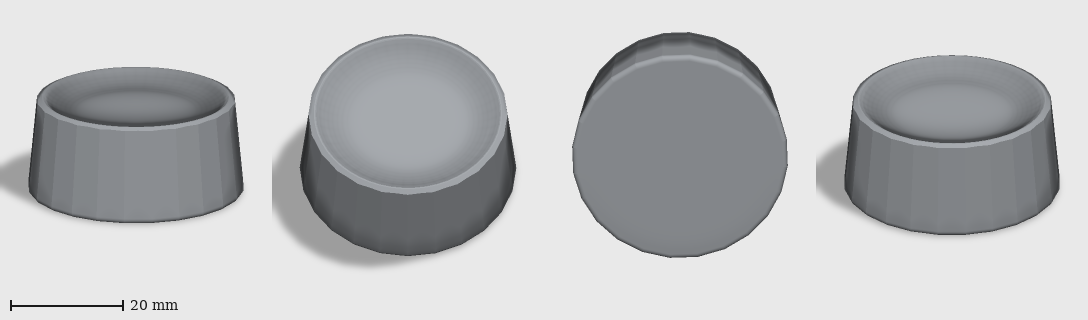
import cadquery as cq
import math

FACET_COUNT = 24
WIDTH = 38.3
HEIGHT = 17.5
SHOULDER_WIDTH = 35.2
BEVEL_HEIGHT = 0.4
BASE_RADIUS = 0.9

RIM_OUTER_RADIUS = 16.8
RIM_INNER_RADIUS = 16.58
DISH_RADIUS = 16.4
FLOOR_RADIUS = 10.87
DISH_CURVE_RADIUS = 7.77
LIP_DROP = 0.1

shoulder_z = HEIGHT - BEVEL_HEIGHT
side_rise = shoulder_z - BASE_RADIUS
centre_x = WIDTH / 2 - BASE_RADIUS
shoulder_offset = SHOULDER_WIDTH / 2 - centre_x
shoulder_distance = math.hypot(shoulder_offset, side_rise)
draft_angle = math.atan2(side_rise, shoulder_offset) - math.acos(BASE_RADIUS / shoulder_distance)


def flat_polygon(width, z):
    """Regular polygon with flats facing the X and Y axes."""
    corner_diameter = width / math.cos(math.pi / FACET_COUNT)
    half_step = 180 / FACET_COUNT
    return (
        cq.Workplane("XY", origin=(0, 0, z))
        .transformed(rotate=(0, 0, half_step))
        .polygon(FACET_COUNT, corner_diameter)
    )


def faceted_body():
    """Tapered prism with a rounded bottom edge."""
    slope = math.tan(draft_angle)
    base_width = SHOULDER_WIDTH + 2 * shoulder_z * slope
    top_width = SHOULDER_WIDTH - 2 * BEVEL_HEIGHT * slope
    lower = flat_polygon(base_width, 0).wires().val()
    upper = flat_polygon(top_width, HEIGHT).wires().val()
    body = cq.Workplane(cq.Solid.makeLoft([lower, upper], True))
    return body.faces("<Z").edges().fillet(BASE_RADIUS)


def bevel_envelope():
    """Solid of revolution whose upper cone cuts the top bevel."""
    bevel_slope = BEVEL_HEIGHT / (SHOULDER_WIDTH / 2 - RIM_OUTER_RADIUS)
    envelope_radius = WIDTH
    cone_foot_z = HEIGHT - (envelope_radius - RIM_OUTER_RADIUS) * bevel_slope
    return (
        cq.Workplane("XZ")
        .moveTo(0, -HEIGHT)
        .lineTo(envelope_radius, -HEIGHT)
        .lineTo(envelope_radius, cone_foot_z)
        .lineTo(RIM_OUTER_RADIUS, HEIGHT)
        .lineTo(0, HEIGHT)
        .close()
        .revolve(360, (0, 0, 0), (0, 1, 0))
    )


def dish_cutter():
    """Round recess: sloped lip, concave wall and a flat floor tangent to the wall."""
    wall_run = DISH_RADIUS - FLOOR_RADIUS
    wall_top_z = HEIGHT - LIP_DROP
    wall_rise = DISH_CURVE_RADIUS - math.sqrt(DISH_CURVE_RADIUS**2 - wall_run**2)
    floor_z = wall_top_z - wall_rise
    middle_angle = math.asin(wall_run / DISH_CURVE_RADIUS) / 2
    middle_x = FLOOR_RADIUS + DISH_CURVE_RADIUS * math.sin(middle_angle)
    middle_z = floor_z + DISH_CURVE_RADIUS * (1 - math.cos(middle_angle))
    return (
        cq.Workplane("XZ")
        .moveTo(0, floor_z)
        .lineTo(FLOOR_RADIUS, floor_z)
        .threePointArc((middle_x, middle_z), (DISH_RADIUS, wall_top_z))
        .lineTo(RIM_INNER_RADIUS, HEIGHT)
        .lineTo(0, HEIGHT)
        .close()
        .revolve(360, (0, 0, 0), (0, 1, 0))
    )


result = faceted_body().intersect(bevel_envelope()).cut(dish_cutter())